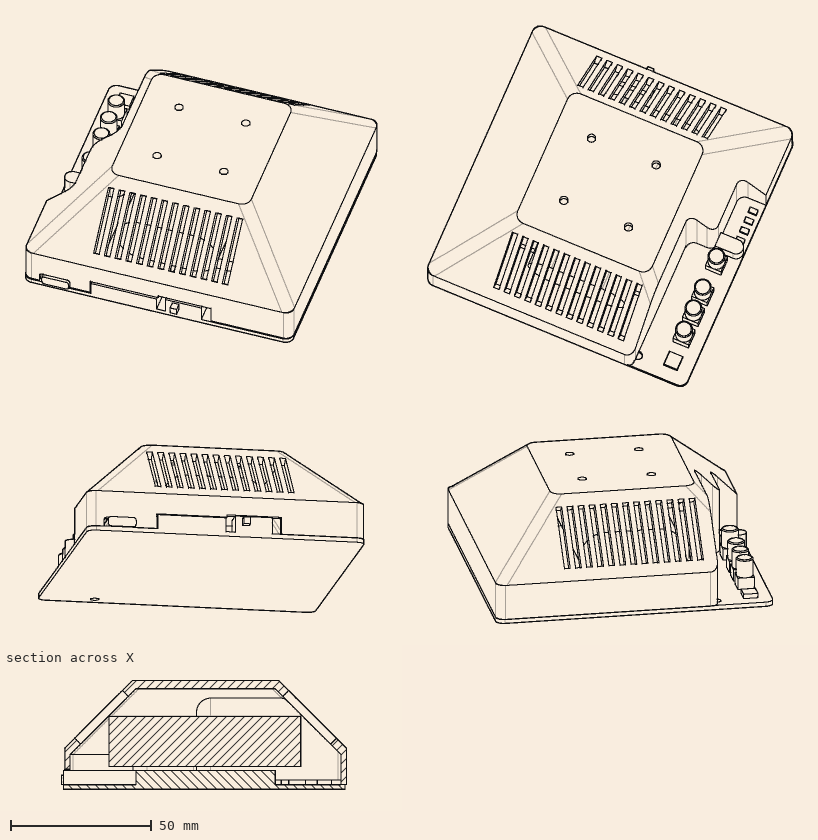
import cadquery as cq
import math

side = 100.0
half = side / 2
corner_radius = 3.0
hip_radius = 3.6
total_height = 38.7
board_thickness = 1.6
board_shift = 0.46

slope_run = 24.0
shoulder_z = total_height - slope_run
plate_side = side - 2 * slope_run
base_wall = 2.0
roof_wall = 3.0

deep_step_x = -30.0
shallow_step_x = -40.0
step_y = -1.2
recess_end_y = -23.8
recess_gap_height = 1.6

slot_count = 13
slot_row_span = 48.0
slot_width = 2.1
slot_run = 16.9

plate_hole_diameter = 3.0
plate_hole_spacing = 24.9

board_front_y = -half - board_shift
screw_hole_diameter = 3.0
screw_hole_x = -30.1
screw_hole_y = 44.9
chip_size = 5.2
chip_height = 1.6
chip_y = 42.2
button_x = -42.5
button_ys = (32.5, 23.9, 15.6, 3.2)
button_size = 6.0
button_base_height = 4.2
button_height = 10.9
button_chamfer = 0.4
led_length = 3.1
led_width = 1.9
led_height = 1.2
led_x = -46.8
led_first_y = -8.0
led_pitch = 3.9
led_count = 4
sensor_tip_x = -49.7
sensor_width = 5.4
sensor_height = 6.3
module_right_x = -0.2
module_height = 5.0
module_rear_side = 49.5
module_left_x = -module_rear_side / 2
switch_left_x = 3.1
switch_length = 13.4
switch_depth = 6.4
switch_height = 5.9
lever_size = 2.5
lever_left_x = 5.7
lever_z = 4.2
lever_tip_y = half - 103.1
usb_left_x = -42.9
usb_width = 10.1
usb_height = 3.4
usb_radius = 1.0
usb_depth = 7.2
usb_overhang = 0.7

fit_gap = 0.4
usb_opening_left_x = -44.1
switch_opening_right_x = 19.9

cell_radius = 9.0
cell_spacing = 19.6
battery_length = 68.1
battery_x = -1.6
battery_top_z = 26.0


def box(x_min, x_max, y_min, y_max, z_min, z_max):
    """Axis-aligned block given by its limits."""
    return cq.Workplane("XY").box(
        x_max - x_min, y_max - y_min, z_max - z_min, centered=False
    ).translate((x_min, y_min, z_min))


def board_block(x_min, x_max, y_min, y_max, height):
    """Block that stands on the upper face of the board."""
    return box(x_min, x_max, y_min, y_max, board_thickness, board_thickness + height)


def rounded_square(size, radius):
    return cq.Sketch().rect(size, size).vertices().fillet(radius)


def hipped_block(base_side, top_side, shoulder, top_z, radius, flank_radius):
    """Square block with upright sides up to the shoulder and sloped flanks above it."""
    base = (
        cq.Workplane("XY", origin=(0, 0, board_thickness))
        .placeSketch(rounded_square(base_side, radius))
        .extrude(shoulder - board_thickness)
    )
    hip = (
        cq.Workplane("XY", origin=(0, 0, shoulder))
        .placeSketch(
            rounded_square(base_side, flank_radius),
            rounded_square(top_side, flank_radius).moved(cq.Location(cq.Vector(0, 0, top_z - shoulder))),
        )
        .loft(ruled=True)
    )
    return base.union(hip)


def recess_cutter(wall):
    """Stepped corner recess, grown by the wall thickness on its inner sides."""
    convex = corner_radius - wall
    concave = corner_radius + wall
    deep_x = deep_step_x + wall
    shallow_x = shallow_step_x + wall
    bend_y = step_y - wall
    end_y = recess_end_y - wall
    rear_y = half - wall
    return (
        cq.Workplane("XY")
        .moveTo(-side, end_y)
        .lineTo(shallow_x - concave, end_y)
        .tangentArcPoint((shallow_x, end_y + concave), relative=False)
        .lineTo(shallow_x, bend_y - convex)
        .tangentArcPoint((shallow_x + convex, bend_y), relative=False)
        .lineTo(deep_x - concave, bend_y)
        .tangentArcPoint((deep_x, bend_y + concave), relative=False)
        .lineTo(deep_x, rear_y - convex)
        .tangentArcPoint((deep_x + convex, rear_y), relative=False)
        .lineTo(deep_x + convex, side)
        .lineTo(-side, side)
        .close()
        .extrude(total_height)
    )


def cavity():
    """Inside of the housing, open at the bottom."""
    inner_side = side - 2 * base_wall
    inner_top_z = total_height - roof_wall
    flank_inset = roof_wall * math.sqrt(2)
    inner_top_side = plate_side + 2 * (roof_wall - flank_inset)
    inner_shoulder_z = inner_top_z - (inner_side - inner_top_side) / 2
    inner_radius = corner_radius - base_wall
    space = hipped_block(
        inner_side, inner_top_side, inner_shoulder_z, inner_top_z, inner_radius, inner_radius
    )
    return space.cut(recess_cutter(base_wall))


def vent_slots():
    """Slots cut square to the sloped front and rear flanks."""
    pitch = slot_row_span / (slot_count - 1)
    slot_length = slot_run * math.sqrt(2)
    flank_y = half - slope_run / 2
    flank_z = shoulder_z + slope_run / 2
    slots = cq.Workplane("XY")
    for facing in (-1, 1):
        for index in range(slot_count):
            slot = (
                cq.Workplane("XY")
                .box(slot_width, slot_length, 3 * roof_wall)
                .rotate((0, 0, 0), (1, 0, 0), -45 * facing)
                .translate((index * pitch - slot_row_span / 2, facing * flank_y, flank_z))
            )
            slots = slots.add(slot)
    return slots.combine()


def front_openings():
    """Cut-outs in the lower edge of the front wall for the connector, module and switch."""
    y_min = -half - base_wall
    y_max = -half + 2 * base_wall
    usb = board_block(usb_opening_left_x, usb_left_x + usb_width, y_min, y_max, usb_height)
    usb = usb.edges("|Y and >Z").fillet(usb_radius)
    module = board_block(
        module_left_x - fit_gap, module_right_x + 2 * fit_gap, y_min, y_max, module_height + fit_gap
    )
    switch = board_block(
        module_right_x + fit_gap, switch_opening_right_x, y_min, y_max, switch_height + fit_gap
    )
    return usb.union(module).union(switch)


def make_housing():
    shell = hipped_block(side, plate_side, shoulder_z, total_height, corner_radius, hip_radius)
    shell = shell.cut(recess_cutter(0))
    wall_gap = board_block(
        deep_step_x - base_wall, deep_step_x + 2 * base_wall,
        step_y + corner_radius, half - base_wall, recess_gap_height,
    )
    plate_holes = (
        cq.Workplane("XY", origin=(0, 0, total_height))
        .rect(plate_hole_spacing, plate_hole_spacing, forConstruction=True)
        .vertices()
        .circle(plate_hole_diameter / 2)
        .extrude(-2 * roof_wall)
    )
    shell = shell.cut(cavity()).cut(vent_slots()).cut(front_openings())
    return shell.cut(wall_gap).cut(plate_holes)


def push_button(y):
    """Square switch body with a round, chamfered cap."""
    base = cq.Workplane("XY").rect(button_size, button_size).extrude(button_base_height)
    cap = cq.Workplane("XY").circle(button_size / 2).extrude(button_height)
    cap = cap.faces(">Z").chamfer(button_chamfer)
    return base.union(cap).translate((button_x, y, board_thickness))


def led(index):
    y = led_first_y - index * led_pitch
    return board_block(
        led_x - led_length / 2, led_x + led_length / 2,
        y - led_width / 2, y + led_width / 2, led_height,
    )


def sensor():
    """Upright block with a full-round outer end, against the shallow recess wall."""
    radius = sensor_width / 2
    round_x = sensor_tip_x + radius
    y_mid = step_y - radius
    body = board_block(round_x, shallow_step_x, y_mid - radius, step_y, sensor_height)
    end = (
        cq.Workplane("XY", origin=(round_x, y_mid, board_thickness))
        .circle(radius)
        .extrude(sensor_height)
    )
    return body.union(end)


def usb_connector():
    front_y = board_front_y - usb_overhang
    shell = board_block(usb_left_x, usb_left_x + usb_width, front_y, front_y + usb_depth, usb_height)
    return shell.edges("|Y").fillet(usb_radius)


def power_module():
    """L-shaped block: its front arm fills the front opening, its rear runs under the battery."""
    rear_half = module_rear_side / 2
    arm = board_block(module_left_x, module_right_x, board_front_y, rear_half, module_height)
    rear = board_block(-rear_half, rear_half, -rear_half, rear_half, module_height)
    return arm.union(rear)


def slide_switch():
    body = board_block(
        switch_left_x, switch_left_x + switch_length,
        board_front_y, board_front_y + switch_depth, switch_height,
    )
    lever = box(
        lever_left_x, lever_left_x + lever_size,
        lever_tip_y, board_front_y, lever_z, lever_z + lever_size,
    )
    return body.union(lever)


def make_board():
    """Circuit board with its soldered components."""
    board = (
        cq.Workplane("XY")
        .placeSketch(rounded_square(side, corner_radius))
        .extrude(board_thickness)
        .translate((0, -board_shift, 0))
    )
    screw_hole = (
        cq.Workplane("XY")
        .center(screw_hole_x, screw_hole_y)
        .circle(screw_hole_diameter / 2)
        .extrude(board_thickness)
    )
    board = board.cut(screw_hole)
    chip = board_block(
        button_x - chip_size / 2, button_x + chip_size / 2,
        chip_y - chip_size / 2, chip_y + chip_size / 2, chip_height,
    )
    parts = [chip, sensor(), usb_connector(), power_module(), slide_switch()]
    parts += [push_button(y) for y in button_ys]
    parts += [led(index) for index in range(led_count)]
    for component in parts:
        board = board.union(component)
    return board


def make_battery():
    return (
        cq.Workplane("XZ", origin=(battery_x, battery_length / 2, battery_top_z - cell_radius))
        .slot2D(cell_spacing + 2 * cell_radius, 2 * cell_radius)
        .extrude(battery_length)
        .translate((0, -board_shift / 2, 0))
    )


housing = make_housing()
board = make_board()
battery = make_battery()

result = cq.Compound.makeCompound([housing.solids().val(), board.solids().val(), battery.val()])